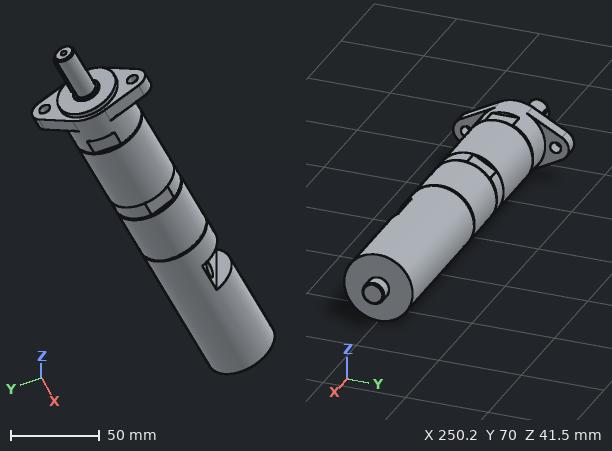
import cadquery as cq
import math

total_length = 250.2
body_diameter = 41.5
body_radius = body_diameter / 2

shaft_diameter = 12.0
shaft_chamfer = 0.8
center_hole_diameter = 3.3
center_hole_angle = 60

key_start = 2.3
key_length = 25.8
key_width = 4.0
key_top = 7.3
key_bottom = 2.5

collar_start = 30.0
collar_diameter = 16.0
collar_chamfer = 0.5
pilot_start = 31.0
pilot_diameter = 36.0

flange_start = 33.8
flange_thickness = 8.5
flange_width = 70.0
flange_hole_offset = 27.0
flange_hole_diameter = 6.5

flat_length = 9.8
flat_distance = 19.0
front_flats_start = 50.5
rear_flats_start = 104.8
rear_flats_angle = 30
rear_flats_diameter = 41.3

groove_width = 0.8
groove_diameter = 40.0
rear_groove_start = 148.5

recess_start = 163.6
recess_length = 19.5
recess_floor = 11.5
port_spacing = 20.5
port_diameter = 9.0
port_depth = 10.0
port_tip_angle = 118

stub_diameter = 13.0
stub_length = 8.3
stub_chamfer = 0.8
body_end = total_length - stub_length


def cylinder(diameter, start, end):
    """Solid cylinder about the X axis."""
    return cq.Workplane("YZ", origin=(start, 0, 0)).circle(diameter / 2).extrude(end - start)


def make_flange_ear(side):
    """Ear on the +Y (side = 1) or -Y (side = -1), with edges tangent to the body and to its round end."""
    end_radius = flange_width / 2 - flange_hole_offset
    slope = (body_radius - end_radius) / flange_hole_offset
    rise = math.sqrt(1 - slope**2)
    inner_y, inner_z = side * body_radius * slope, body_radius * rise
    outer_y, outer_z = side * (flange_hole_offset + end_radius * slope), end_radius * rise
    return (
        cq.Workplane("YZ", origin=(flange_start, 0, 0))
        .moveTo(inner_y, inner_z)
        .lineTo(outer_y, outer_z)
        .threePointArc((side * flange_width / 2, 0), (outer_y, -outer_z))
        .lineTo(inner_y, -inner_z)
        .close()
        .moveTo(side * flange_hole_offset, 0)
        .circle(flange_hole_diameter / 2)
        .extrude(flange_thickness)
    )


def make_key():
    """Round-ended key standing out of the shaft toward +Y."""
    return (
        cq.Workplane("XZ", origin=(key_start + key_length / 2, key_top, 0))
        .slot2D(key_length, key_width)
        .extrude(key_top - key_bottom)
    )


def flats_cutter(start, angle):
    """Two opposite blocks, turned about X from the +Z and -Z sides."""
    block_height = body_radius
    center_z = flat_distance + block_height / 2
    cutter = cq.Workplane("XY")
    for side in (-1, 1):
        block = cq.Workplane("XY", origin=(start + flat_length / 2, 0, side * center_z))
        cutter = cutter.add(block.box(flat_length, body_diameter, block_height))
    return cutter.combine().rotate((0, 0, 0), (1, 0, 0), angle)


def ring_cutter(start, length, diameter):
    """Ring that leaves a core of the given diameter standing."""
    return (
        cq.Workplane("YZ", origin=(start, 0, 0))
        .circle(body_diameter)
        .circle(diameter / 2)
        .extrude(length)
    )


def port_cutter(z):
    """Blind drilled hole with a conical tip, pointing toward +Y."""
    radius = port_diameter / 2
    tip_length = radius / math.tan(math.radians(port_tip_angle / 2))
    return (
        cq.Workplane("XY")
        .polyline([(0, 0), (radius, 0), (radius, port_depth), (0, port_depth + tip_length)])
        .close()
        .revolve(360, (0, 0, 0), (0, 1, 0))
        .translate((recess_start + recess_length / 2, -recess_floor, z))
    )


body = cylinder(body_diameter, flange_start, body_end)
body = body.cut(flats_cutter(front_flats_start, 0))
body = body.cut(flats_cutter(rear_flats_start, -rear_flats_angle))
body = body.cut(ring_cutter(rear_flats_start, flat_length, rear_flats_diameter))
groove_starts = (
    front_flats_start + flat_length,
    rear_flats_start + flat_length,
    rear_groove_start,
)
for groove_start in groove_starts:
    body = body.cut(ring_cutter(groove_start, groove_width, groove_diameter))

recess_depth = body_radius - recess_floor
recess_center = (recess_start + recess_length / 2, -recess_floor - recess_depth / 2, 0)
body = body.cut(cq.Workplane("XY", origin=recess_center).box(recess_length, recess_depth, body_diameter))
for port_z in (-port_spacing / 2, port_spacing / 2):
    body = body.cut(port_cutter(port_z))

shaft = cylinder(shaft_diameter, 0, flange_start).faces("<X").chamfer(shaft_chamfer)
center_hole_depth = center_hole_diameter / 2 / math.tan(math.radians(center_hole_angle / 2))
center_hole = cq.Workplane("XY").add(
    cq.Solid.makeCone(center_hole_diameter / 2, 0, center_hole_depth, dir=cq.Vector(1, 0, 0))
)
shaft = shaft.cut(center_hole).union(make_key())

collar = cylinder(collar_diameter, collar_start, flange_start).faces("<X").chamfer(collar_chamfer)
pilot = cylinder(pilot_diameter, pilot_start, flange_start)
stub = cylinder(stub_diameter, body_end, total_length).faces(">X").chamfer(stub_chamfer)

result = body.union(make_flange_ear(1)).union(make_flange_ear(-1))
result = result.union(pilot).union(collar).union(shaft).union(stub)